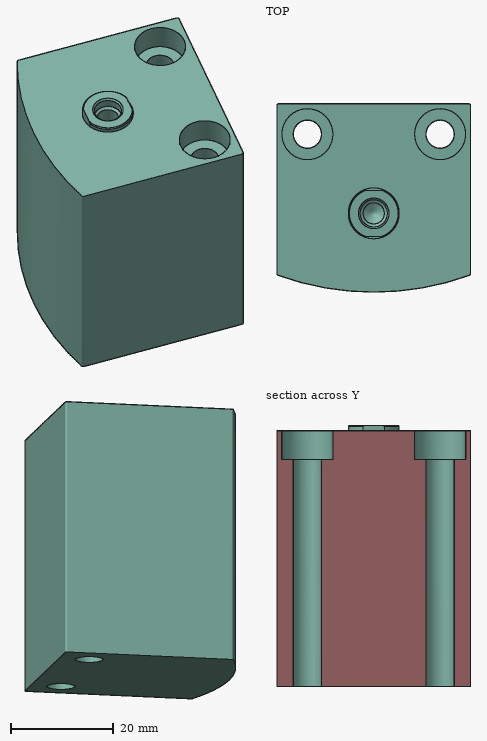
import cadquery as cq
import math

total_height = 51.2
rod_projection = 1.0
block_height = total_height - rod_projection
block_width = 38.0
rod_to_back = 21.5
rod_to_front = 15.45
front_radius = 55.0
corner_fillet = 0.4

mount_offset = 13.0
mount_to_back = 6.0
mount_diameter = 5.5
counterbore_diameter = 10.0
counterbore_depth = 5.65

rod_diameter = 10.0
rod_depth = 15.35
rod_chamfer = 0.2
flats_width = 9.0
flats_length = 3.05
mouth_diameter = 6.0
bore_diameter = 5.3
bore_depth = 2.05
drill_diameter = 4.15
drill_depth = 9.2
drill_tip_angle = 120.0


def make_block():
    """Block with a bowed front, two mounting holes and a blind seat for the rod."""
    half_width = block_width / 2
    bow_depth = front_radius - math.sqrt(front_radius**2 - half_width**2)
    side_front = bow_depth - rod_to_front
    block = (
        cq.Workplane("XY")
        .moveTo(-half_width, rod_to_back)
        .lineTo(-half_width, side_front)
        .threePointArc((0, -rod_to_front), (half_width, side_front))
        .lineTo(half_width, rod_to_back)
        .close()
        .extrude(block_height)
        .edges("|Z")
        .fillet(corner_fillet)
    )
    mount_y = rod_to_back - mount_to_back
    block = (
        block.faces(">Z")
        .workplane(origin=(0, 0, block_height))
        .pushPoints([(-mount_offset, mount_y), (mount_offset, mount_y)])
        .cboreHole(mount_diameter, counterbore_diameter, counterbore_depth)
    )
    return block.faces(">Z").workplane(origin=(0, 0, block_height)).hole(rod_diameter, rod_depth)


def make_rod_hole():
    """Revolved hole: chamfered mouth, wide bore, conical step, drilled hole with a pointed end."""
    mouth_radius = mouth_diameter / 2
    bore_radius = bore_diameter / 2
    drill_radius = drill_diameter / 2
    cone_slope = math.tan(math.radians(drill_tip_angle / 2))
    mouth_bottom = total_height - (mouth_radius - bore_radius)
    bore_bottom = total_height - bore_depth
    step_bottom = bore_bottom - (bore_radius - drill_radius) / cone_slope
    drill_bottom = total_height - drill_depth
    tip = drill_bottom - drill_radius / cone_slope
    return (
        cq.Workplane("XZ")
        .moveTo(0, total_height)
        .lineTo(mouth_radius, total_height)
        .lineTo(bore_radius, mouth_bottom)
        .lineTo(bore_radius, bore_bottom)
        .lineTo(drill_radius, step_bottom)
        .lineTo(drill_radius, drill_bottom)
        .lineTo(0, tip)
        .close()
        .revolve(360, (0, 0), (0, 1))
    )


def make_rod():
    """Round rod seated in the block, with flats that start just below the block top."""
    rod = (
        cq.Workplane("XY", origin=(0, 0, block_height - rod_depth))
        .circle(rod_diameter / 2)
        .extrude(rod_depth + rod_projection)
        .faces(">Z")
        .chamfer(rod_chamfer)
    )
    flats_base = cq.Workplane("XY", origin=(0, 0, total_height - flats_length))
    flatted_end = flats_base.rect(rod_diameter, rod_diameter).extrude(flats_length)
    between_flats = flats_base.rect(rod_diameter, flats_width).extrude(flats_length)
    flat_cuts = flatted_end.cut(between_flats)
    return rod.cut(flat_cuts).cut(make_rod_hole())


block = make_block()
rod = make_rod()
result = cq.Compound.makeCompound([block.val(), rod.val()])